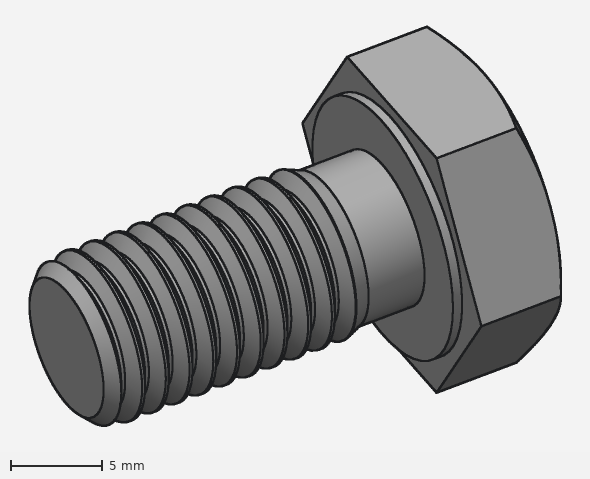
import cadquery as cq
import math


total_length = 26.4
shank_length = 20.0
washer_thickness = 0.58
washer_diameter = 15.42
across_flats = 17.0
head_chamfer_angle = math.radians(30)

plain_diameter = 9.2
plain_length = 3.55
shoulder_length = 1.0

major_diameter = 10.0
minor_diameter = 8.15
groove_count = 10
groove_span = 13.52
tip_to_groove = 1.25
flank_angle = math.radians(30)
tip_angle = math.radians(45)

head_height = total_length - shank_length
across_corners = across_flats / math.cos(math.pi / 6)

pitch = groove_span / (groove_count - 1)
crest_width = pitch / 8
major_radius = major_diameter / 2
minor_radius = minor_diameter / 2
flank_width = (major_radius - minor_radius) * math.tan(flank_angle)
groove_mouth = pitch - crest_width
groove_root = groove_mouth - 2 * flank_width


def revolve_about_y(points):
    """Solid of revolution about Y from a closed (radius, y) outline."""
    return cq.Workplane("XY").polyline(points).close().revolve(360, (0, 0, 0), (0, 1, 0))


def make_head():
    """Hexagon with corners on X, its top corners cut by a cone, plus the washer face."""
    hexagon = (
        cq.Workplane("XZ", origin=(0, washer_thickness, 0))
        .polygon(6, across_corners)
        .extrude(-(head_height - washer_thickness))
    )
    top_radius = across_flats / 2
    envelope_radius = across_corners
    cone_drop = (envelope_radius - top_radius) * math.tan(head_chamfer_angle)
    envelope = revolve_about_y([
        (0, 0),
        (envelope_radius, 0),
        (envelope_radius, head_height - cone_drop),
        (top_radius, head_height),
        (0, head_height),
    ])
    washer = cq.Workplane("XZ").circle(washer_diameter / 2).extrude(-washer_thickness)
    return hexagon.intersect(envelope).union(washer)


def make_shank():
    """Plain shank, flared shoulder, thread and chamfered tip in one revolved outline."""
    plain_radius = plain_diameter / 2
    last_groove_y = tip_to_groove - shank_length
    first_groove_y = last_groove_y + groove_span

    outline = [
        (0, washer_thickness),
        (plain_radius, washer_thickness),
        (plain_radius, -plain_length),
        (major_radius, -plain_length - shoulder_length),
    ]
    for index in range(groove_count):
        centre_y = first_groove_y - index * pitch
        outline += [
            (major_radius, centre_y + groove_mouth / 2),
            (minor_radius, centre_y + groove_root / 2),
            (minor_radius, centre_y - groove_root / 2),
        ]
        if index < groove_count - 1:
            outline.append((major_radius, centre_y - groove_mouth / 2))

    flank_run = tip_to_groove - groove_root / 2
    tip_rise = flank_run / (math.tan(flank_angle) + 1 / math.tan(tip_angle))
    tip_height = tip_rise / math.tan(tip_angle)
    outline += [
        (minor_radius + tip_rise, tip_height - shank_length),
        (minor_radius, -shank_length),
        (0, -shank_length),
    ]
    return revolve_about_y(outline)


result = make_head().union(make_shank())